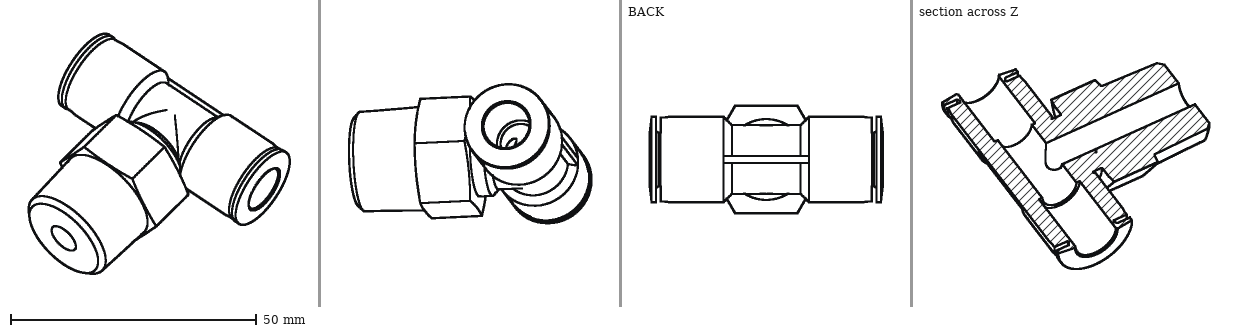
import cadquery as cq
import math


total_length = 47.69
socket_radius = 17.5 / 2
core_radius = 7.0
collar_radius = 17.2 / 2
collar_end_x = 21.55
collar_taper_start_x = 20.75
collar_taper_end_x = 19.75
run_bore_radius = 8.0 / 2

ring_end_x = total_length / 2
ring_rim_x = 23.4
ring_back_x = 22.45
ring_neck_radius = 10.93 / 2
ring_neck_flare_height = 0.3
ring_neck_flare_length = 0.45
tube_radius = 9.53 / 2
tube_lead_in = 0.3
tube_stop_x = 9.0

web_thickness = 1.5

branch_radius = 16.5 / 2
branch_taper_start = 6.5
hex_start = 10.5
hex_end = 21.5
thread_end = 35.5
branch_bore_radius = 6.4 / 2

hex_across_flats = 22.0
hex_face_radius = 10.95
hex_chamfer_angle = 10.0

thread_small_radius = 10.2
thread_chamfer = 1.1
thread_half_angle = 2.0


def revolve_about_x(profile):
    """Turn an (x, radius) profile about the run axis."""
    return cq.Workplane("XY").polyline(profile).close().revolve(360, (0, 0, 0), (1, 0, 0))


def revolve_about_y(profile):
    """Turn a (distance along -Y, radius) profile about the branch axis."""
    points = [(radius, -distance) for distance, radius in profile]
    return cq.Workplane("XY").polyline(points).close().revolve(360, (0, 0, 0), (0, 1, 0))


def run_half():
    """Half of the run on the +X side: waist, socket, collar and release ring."""
    shoulder_end_x = socket_radius
    return revolve_about_x([
        (0, 0),
        (0, core_radius),
        (core_radius, core_radius),
        (shoulder_end_x, socket_radius),
        (collar_taper_end_x, socket_radius),
        (collar_taper_start_x, collar_radius),
        (collar_end_x, collar_radius),
        (collar_end_x, ring_neck_radius),
        (ring_back_x - ring_neck_flare_length, ring_neck_radius),
        (ring_back_x, ring_neck_radius + ring_neck_flare_height),
        (ring_back_x, socket_radius),
        (ring_rim_x, socket_radius),
        (ring_end_x, tube_radius + tube_lead_in),
        (ring_end_x, 0),
    ])


def tube_socket():
    """Cutter for the tube seat on the +X side, with its lead-in chamfer."""
    return revolve_about_x([
        (tube_stop_x, 0),
        (tube_stop_x, tube_radius),
        (ring_end_x - tube_lead_in, tube_radius),
        (ring_end_x, tube_radius + tube_lead_in),
        (ring_end_x, 0),
    ])


def both_ends(half):
    """A +X half joined with its mirror image."""
    return half.union(half.mirror("YZ"))


def web():
    """Flat plate filling the waist out to the socket radius on the +Y side."""
    return cq.Workplane("XY").box(
        2 * socket_radius, socket_radius, web_thickness, centered=(True, False, True)
    )


def branch_root():
    """Waist-sized stub widening by a 45 degree cone to the cylinder under the hexagon."""
    taper_end = branch_taper_start + branch_radius - core_radius
    return revolve_about_y([
        (0, 0),
        (0, core_radius),
        (branch_taper_start, core_radius),
        (taper_end, branch_radius),
        (hex_start, branch_radius),
        (hex_start, 0),
    ])


def hexagon():
    """Hexagon with corners toward +X and -X, both end faces chamfered at the corners."""
    corner_radius = hex_across_flats / 2 / math.cos(math.radians(30))
    corner_drop = (corner_radius - hex_face_radius) * math.tan(math.radians(hex_chamfer_angle))
    prism = (
        cq.Workplane("XZ", origin=(0, -hex_start, 0))
        .polygon(6, 2 * corner_radius)
        .extrude(hex_end - hex_start)
    )
    envelope = revolve_about_y([
        (hex_start, 0),
        (hex_start, hex_face_radius),
        (hex_start + corner_drop, corner_radius),
        (hex_end - corner_drop, corner_radius),
        (hex_end, hex_face_radius),
        (hex_end, 0),
    ])
    return prism.intersect(envelope)


def thread():
    """Tapered thread blank with a 45 degree end chamfer."""
    chamfer_start = thread_end - thread_chamfer
    taper_slope = math.tan(math.radians(thread_half_angle))
    large_radius = thread_small_radius + (chamfer_start - hex_end) * taper_slope
    return revolve_about_y([
        (hex_end, 0),
        (hex_end, large_radius),
        (chamfer_start, thread_small_radius),
        (thread_end, thread_small_radius - thread_chamfer),
        (thread_end, 0),
    ])


def run_bore():
    """Cutter passing through the whole run."""
    return cq.Workplane("YZ").circle(run_bore_radius).extrude(total_length / 2, both=True)


def branch_bore():
    """Cutter from the thread end to the run axis."""
    return cq.Workplane("XZ").circle(branch_bore_radius).extrude(thread_end)


body = both_ends(run_half()).union(web())
body = body.union(branch_root()).union(hexagon()).union(thread())
result = body.cut(run_bore()).cut(branch_bore()).cut(both_ends(tube_socket()))